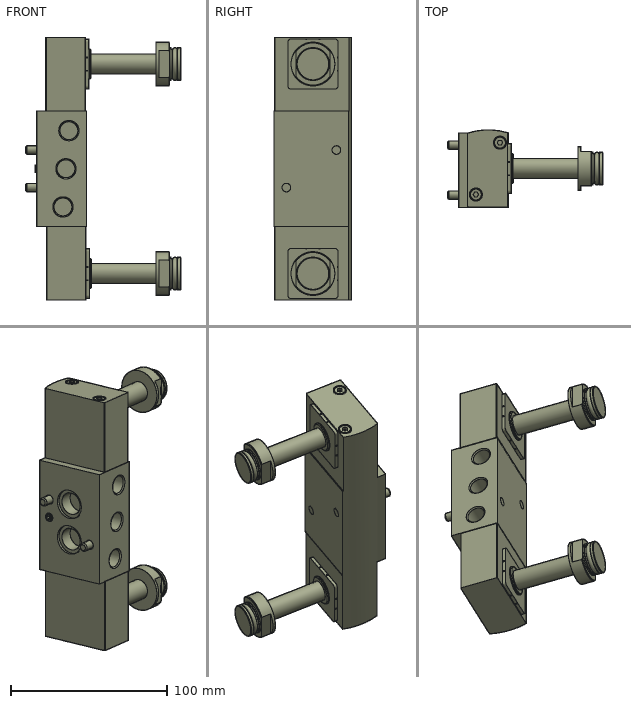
import cadquery as cq
import math


block_depth = 32.0
block_height = 74.0
front_y = -24.0
shoulder_y = 23.8
crown_y = 25.8
crown_start_x = 6.0

total_height = 168.0
cap_height = (total_height - block_height) / 2
cap_depth = 25.5
upper_cap_x = 5.9
lower_cap_x = 6.3
cap_front_inset = 0.4
cap_edge_chamfer = 0.4

cap_screw_points = [(26.5, 17.6), (11.1, -15.6)]
cap_screw_recess_diameter = 8.3
cap_screw_head_diameter = 7.8
cap_screw_head_chamfer = 0.4
cap_screw_recess_depth = 1.0
cap_screw_socket_size = 3.0
cap_screw_socket_depth = 2.0

port_pitch = 24.0
screw_pitch_y = 32.0
seal_recess_diameter = 19.0
seal_recess_depth = 1.8
working_port_diameter = 14.4
working_port_depth = 10.5

side_port_points = [(20.7, 24.4), (18.8, 0.0), (16.9, -24.4)]
side_port_diameter = 11.45
side_port_mouth_diameter = 13.0
side_port_depth = 14.0

fastener_mouth_chamfer = 0.3
screw_diameter = 5.5
screw_protrusion = 7.0
screw_point_chamfer = 0.8
stud_diameter = 5.0
stud_protrusion = 1.0
stud_length = 6.0
stud_chamfer = 0.3
stud_socket_size = 2.5
stud_socket_depth = 2.5

stem_y = 1.0
stem_z = 67.0
flange_size = 32.0
flange_thickness = 2.1
flange_corner_radius = 2.0
flange_slot_offset = 4.25
flange_slot_length = 1.2
flange_slot_width = 0.5
flange_slot_depth = 0.4
collar_diameter = 19.0
collar_thickness = 1.3
collar_chamfer = 0.6
tube_diameter = 13.0

stem_end_x = 92.35
nut_x = 76.3
nut_diameter = 28.0
nut_length = 8.8
nut_rim = 1.9
nut_chamfer = 0.5
nut_across_flats = 22.0
spigot_diameter = 21.0
groove_diameter = 19.0
groove_start = 0.9
groove_width = 4.2
ring_section = 3.2
ring_offset = 2.5
spigot_chamfer = 0.4

nut_end_x = nut_x + nut_length


def x_cylinder(diameter, start_x, end_x, y, z):
    """Cylinder along X from start_x to end_x."""
    plane = cq.Workplane("YZ", origin=(start_x, y, z))
    return plane.circle(diameter / 2).extrude(end_x - start_x)


def crowned_prism(start_x, end_x, face_y, bottom_z, top_z):
    """Upright prism whose +Y side bulges in a shallow arc."""
    middle_x = (crown_start_x + block_depth) / 2
    half_chord = middle_x - crown_start_x
    rise = crown_y - shoulder_y
    crown_radius = (half_chord ** 2 + rise ** 2) / (2 * rise)
    crown = cq.Workplane("XY", origin=(middle_x, crown_y - crown_radius, bottom_z))
    crown = crown.circle(crown_radius).extrude(top_z - bottom_z)
    box = cq.Workplane("XY").box(
        end_x - start_x, crown_y - face_y, top_z - bottom_z, centered=False
    )
    return box.translate((start_x, face_y, bottom_z)).intersect(crown)


def valve_block():
    """Centre block: flat strip along the mounting face, crowned back behind it."""
    half_height = block_height / 2
    strip = cq.Workplane("XY").box(
        crown_start_x, shoulder_y - front_y, block_height, centered=False
    )
    strip = strip.translate((0, front_y, -half_height))
    back = crowned_prism(crown_start_x, block_depth, front_y, -half_height, half_height)
    return strip.union(back)


def end_cap(start_x, bottom_z):
    """Crowned cap with the two -Y upright edges broken."""
    cap = crowned_prism(
        start_x, start_x + cap_depth, front_y + cap_front_inset, bottom_z, bottom_z + cap_height
    )
    return cap.faces("<Y").edges("|Z").chamfer(cap_edge_chamfer)


def solenoid_flange(face_x, z):
    """Square flange with rounded corners and a pair of narrow slots in each side."""
    flange = cq.Workplane("YZ", origin=(face_x, stem_y, z))
    flange = flange.rect(flange_size, flange_size).extrude(flange_thickness)
    flange = flange.edges("|X").fillet(flange_corner_radius)
    edge = flange_size / 2
    slots = cq.Workplane("YZ", origin=(face_x, stem_y, z))
    for offset in (-flange_slot_offset, flange_slot_offset):
        across_y = [(-edge, offset), (edge, offset)]
        across_z = [(offset, -edge), (offset, edge)]
        slots = slots.pushPoints(across_y).rect(2 * flange_slot_depth, flange_slot_width)
        slots = slots.pushPoints(across_z).rect(flange_slot_width, 2 * flange_slot_depth)
    return flange.cut(slots.extrude(flange_slot_length))


def coil_nut(z):
    """Round nut with two flats, followed by a grooved spigot carrying a seal ring."""
    nut = x_cylinder(nut_diameter, nut_x, nut_end_x, stem_y, z)
    nut = nut.faces(">X").edges().chamfer(nut_chamfer)
    flat_length = nut_length - nut_rim
    flats = cq.Workplane("YZ", origin=(nut_x + nut_rim, stem_y, z))
    flats = flats.rect(nut_across_flats, nut_diameter).extrude(flat_length)
    rim = x_cylinder(nut_diameter, nut_x, nut_x + nut_rim, stem_y, z)
    nut = nut.intersect(flats.union(rim))

    spigot = x_cylinder(spigot_diameter, nut_end_x, stem_end_x, stem_y, z)
    spigot = spigot.faces(">X").edges().chamfer(spigot_chamfer)
    groove_x = nut_end_x + groove_start
    groove = x_cylinder(nut_diameter, groove_x, groove_x + groove_width, stem_y, z)
    groove = groove.cut(x_cylinder(groove_diameter, groove_x, groove_x + groove_width, stem_y, z))
    ring_radius = (spigot_diameter - ring_section) / 2
    ring = cq.Workplane("XY").add(
        cq.Solid.makeTorus(
            ring_radius,
            ring_section / 2,
            cq.Vector(groove_x + ring_offset, stem_y, z),
            cq.Vector(1, 0, 0),
        )
    )
    return nut.union(spigot.cut(groove)).union(ring)


def solenoid_stem(face_x, z):
    """Flange, collar, tube and coil nut standing on the +X face of an end cap."""
    collar_x = face_x + flange_thickness
    collar_end_x = collar_x + collar_thickness
    collar = x_cylinder(collar_diameter, collar_x, collar_end_x, stem_y, z)
    collar = collar.faces(">X").edges().chamfer(collar_chamfer)
    tube = x_cylinder(tube_diameter, face_x, nut_end_x, stem_y, z)
    return solenoid_flange(face_x, z).union(collar).union(tube).union(coil_nut(z))


def cut_working_ports(body):
    """Two blind ports in the mounting face, each inside a seal recess."""
    for z in (-port_pitch / 2, port_pitch / 2):
        body = body.cut(x_cylinder(seal_recess_diameter, 0, seal_recess_depth, 0, z))
        body = body.cut(x_cylinder(working_port_diameter, 0, working_port_depth, 0, z))
    return body


def cut_side_ports(body):
    """Three blind ports in the -Y face, each with a 45 degree countersunk mouth."""
    mouth_depth = (side_port_mouth_diameter - side_port_diameter) / 2
    for x, z in side_port_points:
        bore = cq.Solid.makeCylinder(
            side_port_diameter / 2, side_port_depth, cq.Vector(x, front_y, z), cq.Vector(0, 1, 0)
        )
        mouth = cq.Solid.makeCone(
            side_port_mouth_diameter / 2,
            side_port_diameter / 2,
            mouth_depth,
            cq.Vector(x, front_y, z),
            cq.Vector(0, 1, 0),
        )
        body = body.cut(cq.Workplane(bore)).cut(cq.Workplane(mouth))
    return body


def cut_fastener_hole(body, diameter, depth, y, z):
    """Hole in the mounting face with a 45 degree chamfer around its mouth."""
    mouth = cq.Solid.makeCone(
        diameter / 2 + fastener_mouth_chamfer,
        diameter / 2,
        fastener_mouth_chamfer,
        cq.Vector(0, y, z),
        cq.Vector(1, 0, 0),
    )
    return body.cut(x_cylinder(diameter, 0, depth, y, z)).cut(cq.Workplane(mouth))


def seat_cap_screws(body):
    """Chamfered screw heads with hexagon sockets, each sunk flush in a round recess."""
    top_z = total_height / 2
    socket_diameter = cap_screw_socket_size / math.cos(math.pi / 6)
    for x, y in cap_screw_points:
        recess = cq.Workplane("XY", origin=(x, y, top_z))
        recess = recess.circle(cap_screw_recess_diameter / 2).extrude(-cap_screw_recess_depth)
        head = cq.Workplane("XY", origin=(x, y, top_z))
        head = head.circle(cap_screw_head_diameter / 2).extrude(-cap_screw_recess_depth)
        head = head.faces(">Z").edges().chamfer(cap_screw_head_chamfer)
        socket = cq.Workplane("XY", origin=(x, y, top_z))
        socket = socket.polygon(6, socket_diameter).extrude(-cap_screw_socket_depth)
        body = body.cut(recess).union(head).cut(socket)
    return body


screw_points = [(screw_pitch_y / 2, port_pitch / 2), (-screw_pitch_y / 2, -port_pitch / 2)]
stud_y = screw_pitch_y / 2
stud_inner_x = stud_length - stud_protrusion


def make_housing():
    """Valve block with both end caps and solenoid stems."""
    body = valve_block()
    body = body.union(end_cap(upper_cap_x, block_height / 2))
    body = body.union(end_cap(lower_cap_x, -total_height / 2))
    body = body.union(solenoid_stem(upper_cap_x + cap_depth, stem_z))
    body = body.union(solenoid_stem(lower_cap_x + cap_depth, -stem_z))
    body = cut_working_ports(body)
    body = cut_side_ports(body)
    body = seat_cap_screws(body)
    for y, z in screw_points:
        body = cut_fastener_hole(body, screw_diameter, block_depth, y, z)
    return cut_fastener_hole(body, stud_diameter, stud_inner_x, stud_y, 0)


def make_mounting_screw(y, z):
    """Plain shank through the block, standing out of the mounting face."""
    screw = x_cylinder(screw_diameter, -screw_protrusion, block_depth, y, z)
    return screw.faces("<X").edges().chamfer(screw_point_chamfer)


def make_coding_stud():
    """Short grub screw with a hexagon socket in its outer end."""
    stud = x_cylinder(stud_diameter, -stud_protrusion, stud_inner_x, stud_y, 0)
    stud = stud.faces("<X").edges().chamfer(stud_chamfer)
    socket_diameter = stud_socket_size / math.cos(math.pi / 6)
    socket = cq.Workplane("YZ", origin=(-stud_protrusion, stud_y, 0))
    return stud.cut(socket.polygon(6, socket_diameter).extrude(stud_socket_depth))


housing = make_housing()
mounting_screws = [make_mounting_screw(y, z) for y, z in screw_points]
coding_stud = make_coding_stud()

result = cq.Compound.makeCompound(
    [housing.val(), *[screw.val() for screw in mounting_screws], coding_stud.val()]
)